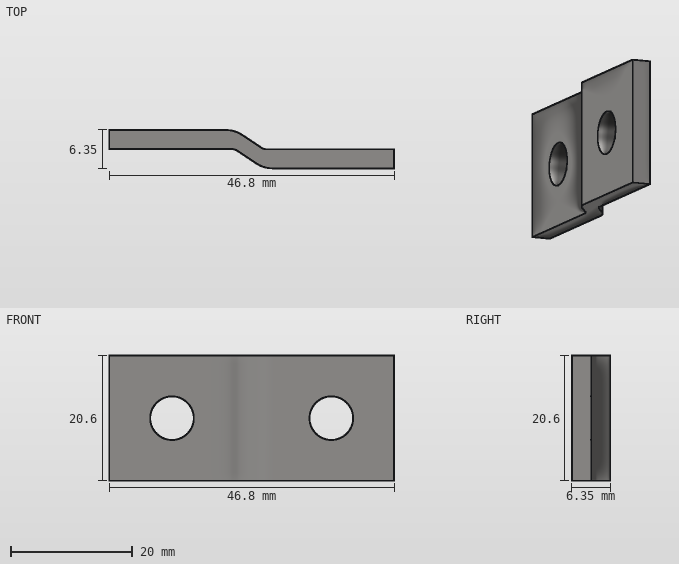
import cadquery as cq

length = 46.83
width = 20.64
thickness = 3.175

step = thickness
left_corner_x = width
web_run = 4.7625
right_corner_x = left_corner_x + web_run
inner_bend_radius = 1.5875
outer_bend_radius = inner_bend_radius + thickness

hole_diameter = 7.14
hole_end_distance = width / 2
hole_positions = [hole_end_distance, length - hole_end_distance]


def bend_edge(body, x, y):
    """Select the upright edge of the strip nearest to the bend corner at (x, y)."""
    return body.edges(cq.selectors.NearestToPointSelector((x, y, width / 2)))


def joggled_strip():
    """Strip with sharp bends, then rounded on the inside and outside of each bend."""
    top_y = thickness + step
    outline = [
        (0, step),
        (left_corner_x, step),
        (right_corner_x, 0),
        (length, 0),
        (length, thickness),
        (right_corner_x, thickness),
        (left_corner_x, top_y),
        (0, top_y),
    ]
    body = cq.Workplane("XY").polyline(outline).close().extrude(width)
    bends = [
        (left_corner_x, step, inner_bend_radius),
        (right_corner_x, thickness, inner_bend_radius),
        (left_corner_x, top_y, outer_bend_radius),
        (right_corner_x, 0, outer_bend_radius),
    ]
    for x, y, radius in bends:
        body = bend_edge(body, x, y).fillet(radius)
    return body


def drill_holes(body):
    """Cut the two through holes along Y."""
    drills = (
        cq.Workplane("XZ")
        .pushPoints([(x, width / 2) for x in hole_positions])
        .circle(hole_diameter / 2)
        .extrude(-(thickness + step))
    )
    return body.cut(drills)


result = drill_holes(joggled_strip())